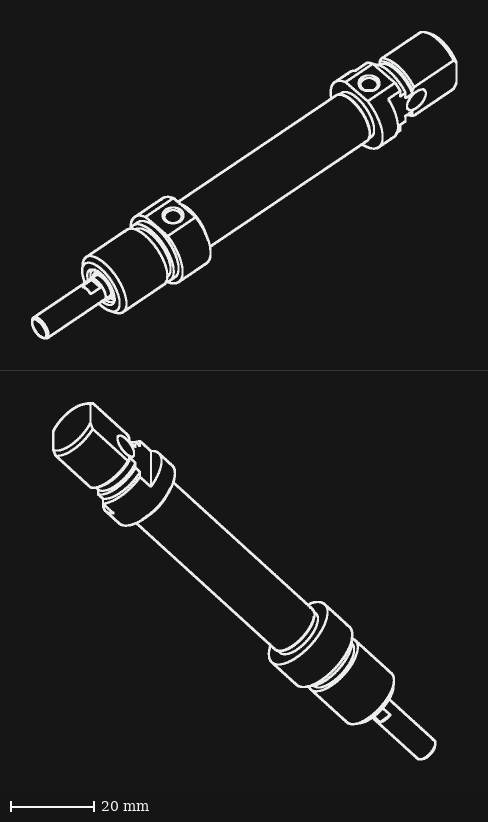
import cadquery as cq
import math


length = 129.0
collar_diameter = 19.0
overall_height = 18.0
port_flat_z = overall_height - collar_diameter / 2
mount_diameter = 16.0
relief_diameter = 13.7
spigot_diameter = 12.8
spigot_length = 1.5

port_diameter = 4.1
port_mouth_diameter = 5.0
port_drill_z = 3.7
drill_tip_angle = 118.0

front_face_y = 19.9
front_thread_end_y = 34.2
front_shoulder_y = 36.2
front_collar_y = 37.8
front_collar_length = 9.0
front_port_y = 43.1
front_chamfer = 1.2
recess_diameter = 9.9
recess_floor_diameter = 9.2
recess_chamfer_depth = 0.6
recess_depth = 1.9
wiper_root_diameter = 7.1
wiper_root_y = 20.4
wiper_diameter = 6.2
wiper_end_y = 18.7

rear_collar_end_y = 111.0
rear_collar_length = 8.8
rear_shoulder_y = 112.6
rear_thread_start_y = 114.8
rear_port_y = 106.2
rear_end_chamfer = 0.9
rear_inner_chamfer = 0.5
tang_width = 12.0
tang_start_y = 107.1
pivot_hole_diameter = 6.0
pivot_hole_y = 116.1

barrel_diameter = 13.3

rod_diameter = 6.0
rod_tip_chamfer = 0.4
wrench_width = 5.0
wrench_start_y = 15.2
wrench_end_y = 18.3

front_collar_end_y = front_collar_y + front_collar_length
barrel_start_y = front_collar_end_y + spigot_length
rear_collar_y = rear_collar_end_y - rear_collar_length
barrel_end_y = rear_collar_y - spigot_length


def turned(profile):
    """Revolve (radius, y) points about the Y axis."""
    return cq.Workplane("XY").polyline(profile).close().revolve(360, (0, 0), (0, 1))


def cut_port_flat(body, start_y, end_y):
    """Mill the flat top of a collar."""
    above = cq.Workplane("XY").box(
        collar_diameter, end_y - start_y, collar_diameter, centered=(True, False, False)
    )
    return body.cut(above.translate((0, start_y, port_flat_z)))


def port_cutter(center_y, bottom_z, tip_depth):
    """Vertical port with a chamfered mouth and, for a blind port, a conical drill tip."""
    drill_radius = port_diameter / 2
    mouth_radius = port_mouth_diameter / 2
    mouth_depth = mouth_radius - drill_radius
    profile = [
        (0, port_flat_z),
        (mouth_radius, port_flat_z),
        (drill_radius, port_flat_z - mouth_depth),
        (drill_radius, bottom_z),
        (0, bottom_z - tip_depth),
    ]
    cutter = cq.Workplane("XZ").polyline(profile).close().revolve(360, (0, 0), (0, 1))
    return cutter.translate((0, center_y, 0))


def make_front_cap():
    mount_radius = mount_diameter / 2
    relief_radius = relief_diameter / 2
    collar_radius = collar_diameter / 2
    spigot_radius = spigot_diameter / 2
    rod_radius = rod_diameter / 2
    recess_floor_y = front_face_y + recess_depth
    profile = [
        (rod_radius, wiper_end_y),
        (wiper_diameter / 2, wiper_end_y),
        (wiper_diameter / 2, wiper_root_y),
        (wiper_root_diameter / 2, wiper_root_y),
        (wiper_root_diameter / 2, recess_floor_y),
        (recess_floor_diameter / 2, recess_floor_y),
        (recess_floor_diameter / 2, front_face_y + recess_chamfer_depth),
        (recess_diameter / 2, front_face_y),
        (mount_radius - front_chamfer, front_face_y),
        (mount_radius, front_face_y + front_chamfer),
        (mount_radius, front_thread_end_y),
        (relief_radius, front_thread_end_y),
        (relief_radius, front_shoulder_y),
        (mount_radius, front_shoulder_y),
        (mount_radius, front_collar_y),
        (collar_radius, front_collar_y),
        (collar_radius, front_collar_end_y),
        (spigot_radius, front_collar_end_y),
        (spigot_radius, barrel_start_y),
        (rod_radius, barrel_start_y),
    ]
    cap = cut_port_flat(turned(profile), front_collar_y, front_collar_end_y)
    return cap.cut(port_cutter(front_port_y, 0, 0))


def make_barrel():
    radius = barrel_diameter / 2
    return turned([(0, barrel_start_y), (radius, barrel_start_y), (radius, barrel_end_y), (0, barrel_end_y)])


def cut_tang(body):
    """Mill the two side flats and drill the pivot hole through them."""
    tang_length = length - tang_start_y
    side_cutter = cq.Workplane("XY").box(
        collar_diameter, tang_length, collar_diameter, centered=(False, False, True)
    )
    right_cutter = side_cutter.translate((tang_width / 2, tang_start_y, 0))
    body = body.cut(right_cutter).cut(right_cutter.mirror("YZ"))
    pivot_hole = (
        cq.Workplane("YZ")
        .center(pivot_hole_y, 0)
        .circle(pivot_hole_diameter / 2)
        .extrude(collar_diameter, both=True)
    )
    return body.cut(pivot_hole)


def make_rear_cap():
    mount_radius = mount_diameter / 2
    relief_radius = relief_diameter / 2
    collar_radius = collar_diameter / 2
    spigot_radius = spigot_diameter / 2
    profile = [
        (0, barrel_end_y),
        (spigot_radius, barrel_end_y),
        (spigot_radius, rear_collar_y),
        (collar_radius, rear_collar_y),
        (collar_radius, rear_collar_end_y),
        (mount_radius, rear_collar_end_y),
        (mount_radius, rear_shoulder_y),
        (relief_radius, rear_shoulder_y),
        (relief_radius, rear_thread_start_y),
        (mount_radius - rear_inner_chamfer, rear_thread_start_y),
        (mount_radius, rear_thread_start_y + rear_inner_chamfer),
        (mount_radius, length - rear_end_chamfer),
        (mount_radius - rear_end_chamfer, length),
        (0, length),
    ]
    cap = cut_port_flat(turned(profile), rear_collar_y, rear_collar_end_y)
    cap = cut_tang(cap)
    tip_depth = port_diameter / 2 / math.tan(math.radians(drill_tip_angle / 2))
    return cap.cut(port_cutter(rear_port_y, port_drill_z, tip_depth))


def make_rod():
    radius = rod_diameter / 2
    profile = [
        (0, 0),
        (radius - rod_tip_chamfer, 0),
        (radius, rod_tip_chamfer),
        (radius, barrel_start_y),
        (0, barrel_start_y),
    ]
    rod = turned(profile)
    flat_cutter = cq.Workplane("XY").box(
        rod_diameter, wrench_end_y - wrench_start_y, rod_diameter, centered=(True, False, False)
    )
    top_cutter = flat_cutter.translate((0, wrench_start_y, wrench_width / 2))
    return rod.cut(top_cutter).cut(top_cutter.mirror("XY"))


front_cap = make_front_cap()
barrel = make_barrel()
rear_cap = make_rear_cap()
rod = make_rod()

result = cq.Compound.makeCompound([front_cap.val(), barrel.val(), rear_cap.val(), rod.val()])